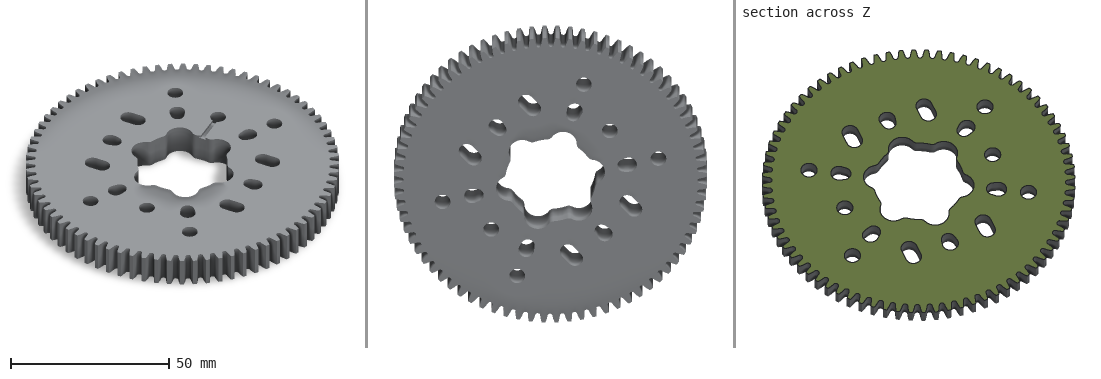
import cadquery as cq
import math

INCH = 25.4
THICKNESS = 0.375 * INCH
DIAMETRAL_PITCH = 20
TEETH = 76
PRESSURE_ANGLE = math.radians(14.5)
FLANK_BACKLASH = 0.03
FLANK_POINTS = 4
ACTIVE_DEDENDUM_FACTOR = 0.9

MODULE = INCH / DIAMETRAL_PITCH
PITCH_RADIUS = MODULE * TEETH / 2
BASE_RADIUS = PITCH_RADIUS * math.cos(PRESSURE_ANGLE)
TIP_RADIUS = PITCH_RADIUS + MODULE
FLANK_START_RADIUS = PITCH_RADIUS - ACTIVE_DEDENDUM_FACTOR * MODULE
TOOTH_ANGLE = 2 * math.pi / TEETH

LOBE_COUNT = 6
BORE_RADIUS = 1.125 * INCH / 2
LOBE_CIRCLE_RADIUS = 13.2
LOBE_RADIUS = 4.3
LOBE_FILLET = 2.0
JUNCTION_TOLERANCE = 0.01

HOLE_DIAMETER = 0.196 * INCH
HOLE_RADIUS = HOLE_DIAMETER / 2
OUTER_CIRCLE_RADIUS = 2.75 * INCH / 2
OUTER_HOLE_ANGLE = math.radians(60)
INNER_CIRCLE_RADIUS = 2.0 * INCH / 2
SHORT_SLOT_COUNT = 6
SHORT_SLOT_INNER_CENTER = 1.875 * INCH / 2
SHORT_SLOT_INNER_RADIUS = 2.15
LONG_SLOT_Y = INCH / 2
LONG_SLOT_INNER_X = INNER_CIRCLE_RADIUS * math.cos(math.radians(30))
LONG_SLOT_OUTER_X = INCH

GROOVE_WIDTH = 1.5
GROOVE_DEPTH = 0.8
GROOVE_MOUTH_FILLET = 0.7


def polar(radius, angle):
    return (radius * math.cos(angle), radius * math.sin(angle))


def mirrored_points(x, y):
    """The point (x, y) repeated in all four quadrants."""
    return [(sign_x * x, sign_y * y) for sign_x in (-1, 1) for sign_y in (-1, 1)]


def involute(angle):
    return math.tan(angle) - angle


def half_tooth_angle(radius):
    """Half the angle a tooth spans at the given radius on its involute flank."""
    flank_angle = math.acos(BASE_RADIUS / radius)
    pitch_half_angle = TOOTH_ANGLE / 4 - FLANK_BACKLASH / PITCH_RADIUS
    return pitch_half_angle + involute(PRESSURE_ANGLE) - involute(flank_angle)


def root_radius():
    """Radius at the bottom of a round tooth root that runs tangent into both flanks."""
    half_space_angle = TOOTH_ANGLE / 2 - half_tooth_angle(FLANK_START_RADIUS)
    start_height, half_width = polar(FLANK_START_RADIUS, half_space_angle)
    flank_tilt = math.acos(BASE_RADIUS / FLANK_START_RADIUS) + half_space_angle
    arc_half_angle = math.pi / 2 - flank_tilt
    return start_height - half_width * math.tan(arc_half_angle / 2)


def make_gear_blank():
    """Toothed disc with involute flanks, round tooth roots and a tooth space centred on +Y."""
    flank_step = (TIP_RADIUS - FLANK_START_RADIUS) / (FLANK_POINTS - 1)
    flank_radii = [FLANK_START_RADIUS + i * flank_step for i in range(FLANK_POINTS)]
    first_center = math.pi / 2 + TOOTH_ANGLE / 2
    start_half_angle = half_tooth_angle(FLANK_START_RADIUS)
    root_bottom = root_radius()

    outline = cq.Workplane("XY").moveTo(*polar(FLANK_START_RADIUS, first_center - start_half_angle))
    for tooth in range(TEETH):
        center = first_center + tooth * TOOTH_ANGLE
        rising = [polar(r, center - half_tooth_angle(r)) for r in flank_radii]
        falling = [polar(r, center + half_tooth_angle(r)) for r in reversed(flank_radii)]
        space_middle = polar(root_bottom, center + TOOTH_ANGLE / 2)
        next_start = polar(FLANK_START_RADIUS, center + TOOTH_ANGLE - start_half_angle)
        outline = outline.spline(rising[1:], includeCurrent=True)
        outline = outline.threePointArc(polar(TIP_RADIUS, center), falling[0])
        outline = outline.spline(falling[1:], includeCurrent=True)
        outline = outline.threePointArc(space_middle, next_start)
    return outline.close().extrude(THICKNESS)


def make_bore():
    """Cutter for the lobed bore, with the edges where lobes meet the round bore filleted."""
    bore = cq.Workplane("XY").circle(BORE_RADIUS).extrude(THICKNESS)
    lobes = (
        cq.Workplane("XY")
        .polarArray(LOBE_CIRCLE_RADIUS, 0, 360, LOBE_COUNT)
        .circle(LOBE_RADIUS)
        .extrude(THICKNESS)
    )
    lobed_bore = bore.union(lobes).clean()
    junctions = lobed_bore.edges("|Z").filter(
        lambda edge: abs(math.hypot(edge.Center().x, edge.Center().y) - BORE_RADIUS) < JUNCTION_TOLERANCE
    )
    return junctions.fillet(LOBE_FILLET)


def make_round_holes():
    centers = mirrored_points(*polar(OUTER_CIRCLE_RADIUS, OUTER_HOLE_ANGLE))
    centers += [(0, INNER_CIRCLE_RADIUS), (0, -INNER_CIRCLE_RADIUS)]
    return cq.Workplane("XY").pushPoints(centers).circle(HOLE_RADIUS).extrude(THICKNESS)


def make_short_slots():
    """Radial slots that taper toward the bore, with straight sides tangent to both round ends."""
    center_distance = INNER_CIRCLE_RADIUS - SHORT_SLOT_INNER_CENTER
    tangent_angle = math.acos((HOLE_RADIUS - SHORT_SLOT_INNER_RADIUS) / center_distance)
    outer_dx, outer_dy = polar(HOLE_RADIUS, math.pi - tangent_angle)
    inner_dx, inner_dy = polar(SHORT_SLOT_INNER_RADIUS, math.pi - tangent_angle)
    outer_x = INNER_CIRCLE_RADIUS + outer_dx
    inner_x = SHORT_SLOT_INNER_CENTER + inner_dx
    slot = (
        cq.Workplane("XY")
        .moveTo(inner_x, -inner_dy)
        .lineTo(outer_x, -outer_dy)
        .threePointArc((INNER_CIRCLE_RADIUS + HOLE_RADIUS, 0), (outer_x, outer_dy))
        .lineTo(inner_x, inner_dy)
        .threePointArc((SHORT_SLOT_INNER_CENTER - SHORT_SLOT_INNER_RADIUS, 0), (inner_x, -inner_dy))
        .close()
        .extrude(THICKNESS)
    )
    slots = cq.Workplane("XY")
    for index in range(SHORT_SLOT_COUNT):
        slots = slots.add(slot.rotate((0, 0, 0), (0, 0, 1), index * 360 / SHORT_SLOT_COUNT))
    return slots.combine()


def make_long_slots():
    """Four slots along X, one in each quadrant."""
    length = LONG_SLOT_OUTER_X - LONG_SLOT_INNER_X + HOLE_DIAMETER
    middle_x = (LONG_SLOT_OUTER_X + LONG_SLOT_INNER_X) / 2
    centers = mirrored_points(middle_x, LONG_SLOT_Y)
    return cq.Workplane("XY").pushPoints(centers).slot2D(length, HOLE_DIAMETER).extrude(THICKNESS)


def cut_groove(body):
    """Cut the index groove and round the two corners where it opens into the bore."""
    groove = (
        cq.Workplane("XY", origin=(0, INNER_CIRCLE_RADIUS / 2, THICKNESS - GROOVE_DEPTH))
        .rect(GROOVE_WIDTH, INNER_CIRCLE_RADIUS)
        .extrude(GROOVE_DEPTH)
    )
    mouth = cq.selectors.BoxSelector(
        (-GROOVE_WIDTH, BORE_RADIUS - GROOVE_WIDTH, THICKNESS - GROOVE_DEPTH),
        (GROOVE_WIDTH, BORE_RADIUS + GROOVE_WIDTH, THICKNESS),
    )
    return body.cut(groove).edges("|Z").edges(mouth).fillet(GROOVE_MOUTH_FILLET)


result = make_gear_blank()
for cutter in (make_bore(), make_round_holes(), make_short_slots(), make_long_slots()):
    result = result.cut(cutter)
result = cut_groove(result)